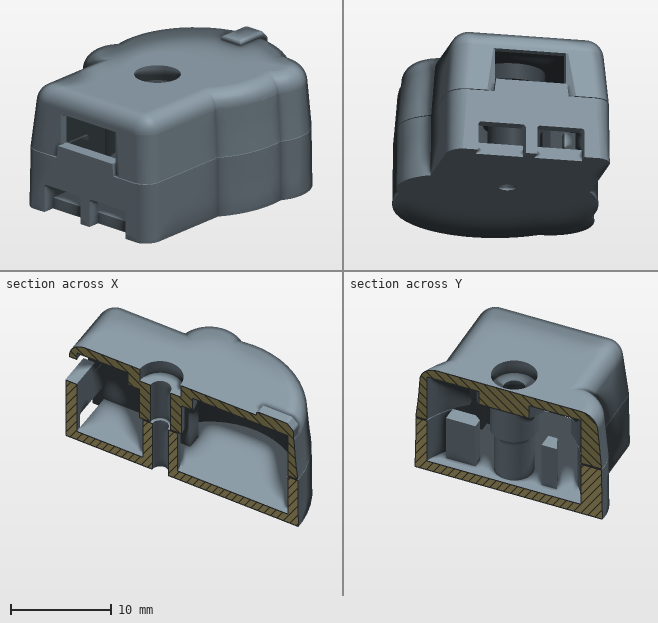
import cadquery as cq
import math

round_radius = 10.3
lobe_radius = 4.35
lobe_distance = 7.53
lobe_angles = (30, 210)
neck_half_width = 8.37
overall_length = 26.9
front_y = round_radius - overall_length
edge_radius = 1.88

split_z = 6.3
split_gap = 0.08
lid_bottom_z = split_z + split_gap
lid_top_z = 13.02
tab_top_z = 13.54

base_draft = 0.8
lid_draft = 5.0
base_inset = split_z * math.tan(math.radians(base_draft))

floor_thickness = 1.18
ceiling_thickness = 1.18
cavity_radius = 9.01
front_wall = 1.32
inner_front_y = front_y + front_wall
channel_half_width = 3.63
lid_cavity_half_width = 5.57
vestibule_half_width = 5.44
chamber_front_y = -9.95
chamber_half_width = 6.85
rib_front_y = -5.92
rib_back_y = -4.3
rib_tip_x = 4.63
rib_slope_run = 0.67
jamb_depth = 0.55
post_front_y = -12.38
post_back_y = -11.05
post_inner_x = 4.33
post_top_z = 3.93

screw_y = -5.68
base_screw_hole = 1.78
base_boss_diameter = 4.05
lid_screw_hole = 2.25
counterbore_diameter = 4.68
counterbore_depth = 1.6
lid_boss_diameter = 4.9
collar_diameter = 7.53
collar_bottom_z = 10.23

tongue_top_z = 7.62
tongue_half_width_top = 3.63
tongue_half_width_root = 3.8
opening_top_z = 10.95
mouth_half_width = 4.55
mouth_depth = 0.5

slot_inner_x = 0.6
slot_outer_x = 5.44
slot_height = 3.0
slot_corner_radius = 0.32

tab_width = 2.6
tab_front_y = 5.35
tab_back_y = 9.7
tab_root_z = 10.76
tab_back_chamfer = 0.75
tab_fillet = 0.4


def cylinder(diameter, z_from, z_to, y=0.0):
    """Vertical cylinder on the plane of symmetry of the neck."""
    return cq.Workplane("XY", (0, y, z_from)).circle(diameter / 2).extrude(z_to - z_from)


def block(half_width, y_from, y_to, z_from, z_to):
    """Box centred on X = 0."""
    size = (2 * half_width, y_to - y_from, z_to - z_from)
    return cq.Workplane("XY", (0, y_from, z_from)).box(*size, centered=(True, False, False))


def outer_shape(z_from, z_to, draft, inset, rounded_top=False):
    """Drafted round part, lobes and neck, with the outline shrunk by `inset` at z_from."""
    height = z_to - z_from

    def drafted_round(radius, x, y):
        solid = cq.Workplane("XY", (x, y, z_from)).circle(radius - inset).extrude(height, taper=draft)
        if rounded_top:
            solid = solid.faces(">Z").edges().fillet(edge_radius)
        return solid

    neck_front = front_y - base_inset + inset
    neck_width = 2 * (neck_half_width - inset)
    neck = (
        cq.Workplane("XY", (0, neck_front / 2, z_from))
        .rect(neck_width, -neck_front)
        .extrude(height, taper=draft)
    )
    rounded_edges = neck.faces("<Y").edges("not #Z")
    if rounded_top:
        rounded_edges = rounded_edges.add(neck.faces(">Z").edges("<Y or <X or >X"))
    neck = rounded_edges.fillet(edge_radius)

    shape = drafted_round(round_radius, 0, 0).union(neck)
    for angle in lobe_angles:
        x = lobe_distance * math.cos(math.radians(angle))
        y = lobe_distance * math.sin(math.radians(angle))
        shape = shape.union(drafted_round(lobe_radius, x, y))
    return shape


def make_tongue():
    """Tongue that rises from the base's front wall, narrowing upward."""
    return (
        cq.Workplane("XZ", (0, front_y, 0))
        .moveTo(-tongue_half_width_root, split_z)
        .lineTo(tongue_half_width_root, split_z)
        .lineTo(tongue_half_width_top, tongue_top_z)
        .lineTo(-tongue_half_width_top, tongue_top_z)
        .close()
        .extrude(-front_wall)
    )


def make_slots():
    """Two slots open at the bottom of the front wall."""
    width = slot_outer_x - slot_inner_x
    slots = cq.Workplane("XY")
    for side in (-1, 1):
        x = side * (slot_inner_x + slot_outer_x) / 2
        slot = (
            cq.Workplane("XY", (x, front_y, 0))
            .box(width, front_wall, slot_height, centered=(True, False, False))
            .edges("|Y and >Z")
            .fillet(slot_corner_radius)
        )
        slots = slots.add(slot)
    return slots.combine()


def make_ribs():
    """Two ribs that flank the passage from the neck into the round cavity."""
    left_outline = [
        (-rib_tip_x - rib_slope_run, rib_back_y),
        (-rib_tip_x, rib_front_y),
        (-channel_half_width, rib_front_y),
        (-channel_half_width, rib_back_y),
    ]
    right_outline = [
        (channel_half_width, rib_back_y),
        (channel_half_width, rib_front_y + jamb_depth),
        (post_inner_x, rib_front_y),
        (chamber_half_width, rib_front_y),
        (chamber_half_width, rib_back_y),
    ]
    height = split_z - floor_thickness
    ribs = cq.Workplane("XY")
    for outline in (left_outline, right_outline):
        rib = cq.Workplane("XY", (0, 0, floor_thickness)).polyline(outline).close().extrude(height)
        ribs = ribs.add(rib)
    return ribs.combine()


def make_post():
    """Low post against the right wall behind the slot."""
    size = (vestibule_half_width - post_inner_x, post_back_y - post_front_y, post_top_z - floor_thickness)
    corner = (post_inner_x, post_front_y, floor_thickness)
    return cq.Workplane("XY", corner).box(*size, centered=False)


def make_base():
    """Lower housing: hollow, with slots, screw boss and tongue."""
    base = outer_shape(0, split_z, base_draft, 0)
    base = base.cut(block(neck_half_width, front_y - edge_radius, front_y, 0, split_z))

    base = base.cut(cylinder(2 * cavity_radius, floor_thickness, split_z))
    base = base.cut(block(vestibule_half_width, inner_front_y, chamber_front_y, floor_thickness, split_z))
    base = base.cut(block(chamber_half_width, chamber_front_y, 0, floor_thickness, split_z))
    base = base.union(make_ribs()).union(make_post())

    base = base.cut(make_slots())
    base = base.union(cylinder(base_boss_diameter, 0, split_z, screw_y))
    base = base.cut(cylinder(base_screw_hole, 0, split_z, screw_y))
    return base.union(make_tongue())


def make_tab():
    """Raised tab that wraps over the lid's rounded rear edge."""
    tab = (
        block(tab_width / 2, tab_front_y, tab_back_y, tab_root_z, tab_top_z)
        .edges(">Y and >Z")
        .chamfer(tab_back_chamfer)
    )
    upper_edges = tab.edges("not <Z").edges("not (|Z and <Y)")
    return upper_edges.fillet(tab_fillet)


def make_opening():
    """Window in the lid's front wall whose sides splay outward at the mouth."""
    return (
        cq.Workplane("XY", (0, 0, lid_bottom_z))
        .moveTo(-mouth_half_width, front_y)
        .lineTo(mouth_half_width, front_y)
        .lineTo(channel_half_width, front_y + mouth_depth)
        .lineTo(channel_half_width, inner_front_y)
        .lineTo(-channel_half_width, inner_front_y)
        .lineTo(-channel_half_width, front_y + mouth_depth)
        .close()
        .extrude(opening_top_z - lid_bottom_z)
    )


def make_lid():
    """Upper housing: rounded cap with a front window, screw seat and tab."""
    lid = outer_shape(lid_bottom_z, lid_top_z, lid_draft, base_inset, rounded_top=True)
    lid = lid.union(make_tab())

    ceiling_z = lid_top_z - ceiling_thickness
    lid = lid.cut(cylinder(2 * cavity_radius, lid_bottom_z, ceiling_z))
    lid = lid.cut(block(lid_cavity_half_width, inner_front_y, 0, lid_bottom_z, ceiling_z))
    lid = lid.cut(make_opening()).cut(make_tongue())

    lid = lid.union(cylinder(collar_diameter, collar_bottom_z, ceiling_z, screw_y))
    lid = lid.union(cylinder(lid_boss_diameter, lid_bottom_z, collar_bottom_z, screw_y))
    lid = lid.cut(cylinder(lid_screw_hole, lid_bottom_z, lid_top_z, screw_y))
    return lid.cut(cylinder(counterbore_diameter, lid_top_z - counterbore_depth, lid_top_z, screw_y))


base = make_base()
lid = make_lid()
result = cq.Compound.makeCompound([base.solids().val(), lid.solids().val()])